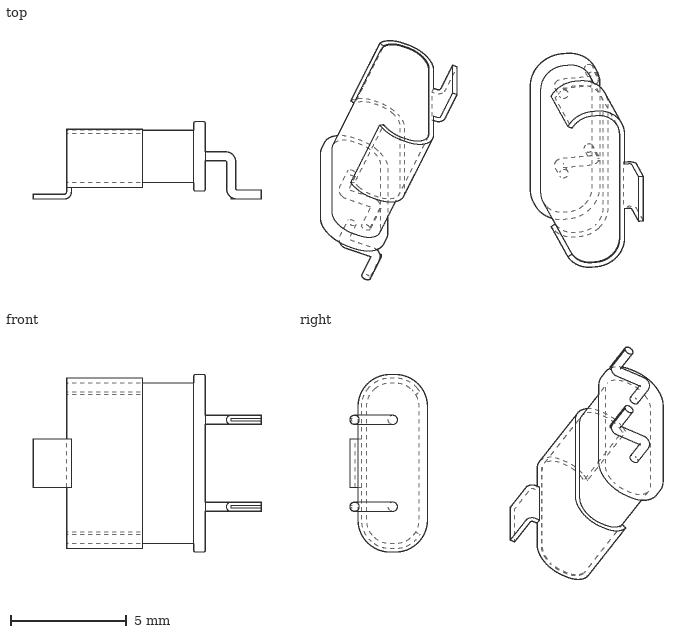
import cadquery as cq
import math


corner_y = 0.11
corner_z = 2.44

can_length = 6.0
can_corner_radius = 1.02
flange_thickness = 0.51
flange_overhang = 0.37
flange_corner_radius = can_corner_radius + flange_overhang
edge_round = 0.1

sheet_thickness = 0.22
clip_length = 3.29
clip_corner_radius = can_corner_radius + sheet_thickness
clip_arm_angle = 59.0

tab_overhang = 1.44
tab_width = 2.11
tab_bend_radius = 0.1

mount_y = -1.85

lead_diameter = 0.4
lead_radius = lead_diameter / 2
lead_spacing = 3.75
lead_bend_radius = 0.25
lead_drop_x = 1.11
lead_end_x = 2.41

foot_width = 0.12
foot_height = 0.13


def oblong_prism(corner_radius, start_x, length):
    """Oblong section with the shared corner centres, extruded along +X."""
    width = 2 * (corner_y + corner_radius)
    height = 2 * (corner_z + corner_radius)
    return (
        cq.Workplane("YZ", origin=(start_x, 0, 0))
        .rect(width, height)
        .extrude(length)
        .edges("|X")
        .fillet(corner_radius)
    )


def make_can():
    """Can with a rounded closed end and a flange rounded on both rims."""
    shell = oblong_prism(can_corner_radius, -can_length, can_length).faces("<X").edges().fillet(edge_round)
    flange = oblong_prism(flange_corner_radius, -flange_thickness, flange_thickness)
    flange = flange.faces("<X or >X").edges().fillet(edge_round)
    return shell.union(flange)


def make_clip():
    """Sheet clip around the -Y side and both ends of the can, with a bent solder tab."""
    sleeve = oblong_prism(clip_corner_radius, -can_length, clip_length)
    sleeve = sleeve.cut(oblong_prism(can_corner_radius, -can_length, clip_length))

    arm_slope = 1 / math.tan(math.radians(clip_arm_angle))
    opening_y = corner_y + 2 * clip_corner_radius
    opening_z = corner_z + 2 * clip_corner_radius * arm_slope
    opening = (
        cq.Workplane("YZ", origin=(-can_length, 0, 0))
        .polyline([(corner_y, -corner_z), (opening_y, -opening_z), (opening_y, opening_z), (corner_y, corner_z)])
        .close()
        .extrude(clip_length)
    )

    wall_y = -corner_y - can_corner_radius
    upright_x = -can_length + sheet_thickness
    tab_tip_x = -can_length - tab_overhang
    tab_top_y = mount_y + sheet_thickness
    tab = (
        cq.Workplane("XY", origin=(0, 0, -tab_width / 2))
        .polyline([
            (-can_length, wall_y),
            (-can_length, tab_top_y),
            (tab_tip_x, tab_top_y),
            (tab_tip_x, mount_y),
            (upright_x, mount_y),
            (upright_x, wall_y),
        ])
        .close()
        .extrude(tab_width)
    )
    inner_bend = cq.selectors.NearestToPointSelector((-can_length, tab_top_y, 0))
    outer_bend = cq.selectors.NearestToPointSelector((upright_x, mount_y, 0))
    tab = tab.edges("|Z").edges(inner_bend).fillet(tab_bend_radius)
    tab = tab.edges("|Z").edges(outer_bend).fillet(tab_bend_radius + sheet_thickness)
    return sleeve.cut(opening).union(tab)


def make_lead(z):
    """Round wire leaving the flange, bent down to the mounting plane and out again."""
    solder_y = mount_y + lead_radius
    bend = lead_bend_radius
    bend_mid = bend * (1 - math.sqrt(0.5))
    path = (
        cq.Workplane("XY", origin=(0, 0, z))
        .moveTo(0, 0)
        .lineTo(lead_drop_x - bend, 0)
        .threePointArc((lead_drop_x - bend_mid, -bend_mid), (lead_drop_x, -bend))
        .lineTo(lead_drop_x, solder_y + bend)
        .threePointArc((lead_drop_x + bend_mid, solder_y + bend_mid), (lead_drop_x + bend, solder_y))
        .lineTo(lead_end_x, solder_y)
    )
    return cq.Workplane("YZ", origin=(0, 0, z)).circle(lead_radius).sweep(path)


def make_foot(lead, z):
    """Narrow strip that fills in below a lead and gives its solder end a flat underside."""
    strip = (
        cq.Workplane("XY")
        .box(lead_end_x - lead_drop_x, foot_height, foot_width, centered=(False, False, True))
        .translate((lead_drop_x, mount_y, z))
    )
    return strip.cut(lead)


can = make_can()
clip = make_clip()

leads = []
feet = []
for side in (-1, 1):
    lead_z = side * lead_spacing / 2
    lead = make_lead(lead_z)
    leads.append(lead.val())
    feet.append(make_foot(lead, lead_z).solids().val())

result = cq.Compound.makeCompound([can.val(), clip.val(), *leads, *feet])